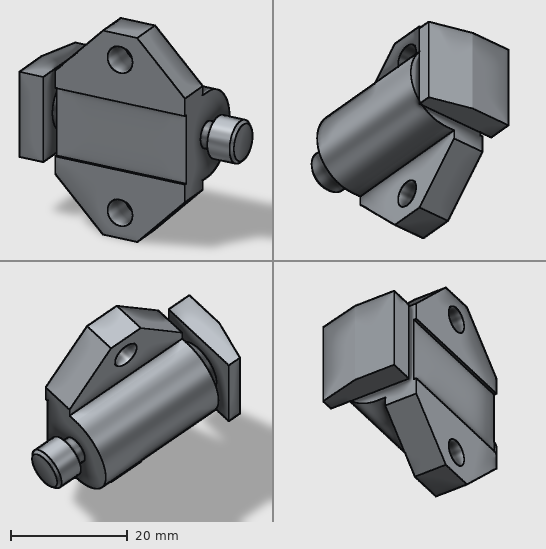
import cadquery as cq

total_length = 39.55
depth = 15.9
plate_height = 38.1
radius = depth / 2

body_length = 25.47
plate_thickness = 6.33
corner_cut = 9.37
hole_diameter = 4.9
hole_spacing = 28.55
groove_height = 12.77
groove_depth = 0.47

jaw_thickness = 4.7
jaw_tip_setback = 2.18
shaft_diameter = 9.45

neck_diameter = 4.9
head_diameter = 7.75
head_length = 4.9
head_chamfer = 0.55

left_end = -total_length / 2
right_end = total_length / 2
body_left = -body_length / 2
front_y = -radius
jaw_back = left_end + jaw_thickness


def rod(start_x, end_x, diameter):
    """Cylinder on the screw axis between two X positions."""
    return cq.Workplane("YZ", origin=(start_x, 0, 0)).circle(diameter / 2).extrude(end_x - start_x)


def make_body():
    """Block with a half-round rear side."""
    return (
        cq.Workplane("YZ", origin=(body_left, 0, 0))
        .moveTo(front_y, -radius)
        .lineTo(0, -radius)
        .threePointArc((radius, 0), (0, radius))
        .lineTo(front_y, radius)
        .close()
        .extrude(body_length)
    )


def make_plate():
    """Mounting plate with four bevelled corners."""
    return (
        cq.Workplane("XY")
        .box(body_length, plate_thickness, plate_height)
        .edges("|Y")
        .chamfer(corner_cut)
        .translate((0, front_y + plate_thickness / 2, 0))
    )


def make_holes():
    """Mounting holes above and below the body."""
    return (
        cq.Workplane("XZ", origin=(0, front_y, 0))
        .pushPoints([(0, -hole_spacing / 2), (0, hole_spacing / 2)])
        .circle(hole_diameter / 2)
        .extrude(-plate_thickness)
    )


def make_groove():
    """Shallow channel along the front face."""
    return cq.Workplane("XY").box(body_length, groove_depth, groove_height).translate(
        (0, front_y + groove_depth / 2, 0)
    )


def make_jaw():
    """Jaw whose outer face slopes inward behind the screw axis."""
    return (
        cq.Workplane("XY", origin=(0, 0, -radius))
        .polyline([
            (left_end, front_y),
            (jaw_back, front_y),
            (jaw_back, radius),
            (left_end + jaw_tip_setback, radius),
            (left_end, 0),
        ])
        .close()
        .extrude(depth)
    )


def make_screw():
    """Neck and chamfered cylindrical head."""
    head_start = right_end - head_length
    neck = rod(-body_left, head_start, neck_diameter)
    head = rod(head_start, right_end, head_diameter).faces(">X").chamfer(head_chamfer)
    return neck.union(head)


housing = make_body().union(make_plate()).cut(make_holes()).cut(make_groove())
shaft = rod(jaw_back, body_left, shaft_diameter)
result = housing.union(shaft).union(make_jaw()).union(make_screw())